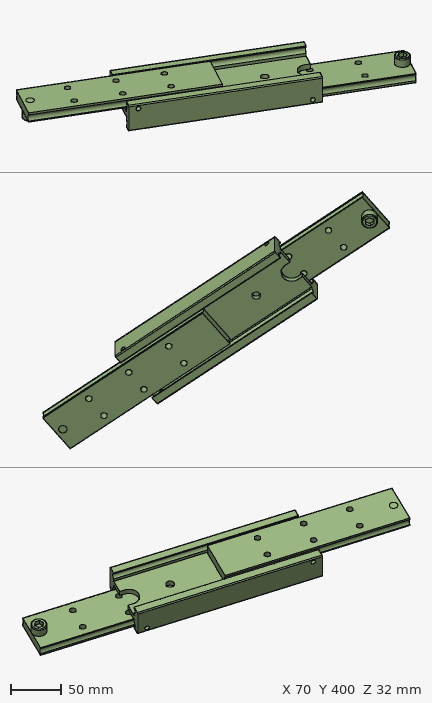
import cadquery as cq

rail_length = 200.0
housing_length = 200.0
housing_width = 70.0
housing_height = 30.0
total_height = 32.0

web_thickness = 6.0
flange_inner_x = 25.5
flange_edge_chamfer = 1.0
track_z = 10.0
housing_track_radius = 4.0
housing_track_depth = 2.5

rail_width = 45.0
rail_thickness = 11.0
rail_track_height = 7.0
rail_track_depth = 1.5
rail_track_bulge = 0.5
rail_hole_diameter = 6.5
rail_hole_spacing = 25.0
rail_hole_pitch = 50.0
rail_hole_rows = 3

head_diameter = 16.0
head_height = 9.5
head_chamfer = 1.0
shank_diameter = 8.5
socket_corner_diameter = 9.5
socket_depth = 5.0
screw_y = rail_length - head_diameter / 2

notch_diameter = 21.0
notch_depth = 16.0
notch_center_y = housing_length / 2 - notch_depth + notch_diameter / 2
notch_run = notch_depth
web_hole_diameter = 8.5
web_hole_y = 50.0
side_hole_diameter = 5.0
side_hole_y = 90.0

rail_inner_z = total_height / 2 - rail_thickness
cut_length = 2 * housing_length


def turned_about_x(body, angle):
    """A half turn about X carries the upper rail and screw to their lower places."""
    return body.rotate((0, 0, 0), (1, 0, 0), angle)


def make_housing():
    """H-shaped middle member that guides one rail on each face."""
    body = cq.Workplane("XY").box(housing_width, housing_length, housing_height)
    body = body.edges("|Y").chamfer(flange_edge_chamfer)

    channel_height = (housing_height - web_thickness) / 2
    channel_z = (housing_height + web_thickness) / 4
    track_center_x = flange_inner_x + housing_track_depth - housing_track_radius
    for side in (-1, 1):
        channel = cq.Workplane("XY").box(2 * flange_inner_x, cut_length, channel_height)
        body = body.cut(channel.translate((0, 0, side * channel_z)))
    tracks = (
        cq.Workplane("XZ")
        .rect(2 * track_center_x, 2 * track_z, forConstruction=True)
        .vertices()
        .circle(housing_track_radius)
        .extrude(cut_length / 2, both=True)
    )
    body = body.cut(tracks)

    for end in (-1, 1):
        notch = (
            cq.Workplane("XY")
            .center(0, end * (notch_center_y + notch_run / 2))
            .slot2D(notch_run + notch_diameter, notch_diameter, 90)
            .extrude(web_thickness, both=True)
        )
        body = body.cut(notch)
        hole = cq.Workplane("XY").center(0, end * web_hole_y).circle(web_hole_diameter / 2)
        body = body.cut(hole.extrude(web_thickness, both=True))

    cross_holes = (
        cq.Workplane("YZ")
        .pushPoints([(side_hole_y, -track_z), (-side_hole_y, track_z)])
        .circle(side_hole_diameter / 2)
        .extrude(housing_width, both=True)
    )
    return body.cut(cross_holes)


def make_upper_rail():
    """Flat rail with ball tracks in both sides, reaching out toward -Y."""
    half_width = rail_width / 2

    track_top = track_z + rail_track_height / 2
    track_bottom = track_z - rail_track_height / 2
    track_x = half_width - rail_track_depth
    mid_x = half_width - rail_track_depth / 2 - rail_track_bulge
    mid_offset = rail_track_height / 4
    half_outline = (
        cq.Workplane("XZ")
        .moveTo(0, rail_inner_z)
        .lineTo(half_width, rail_inner_z)
        .lineTo(half_width, track_bottom)
        .threePointArc((mid_x, track_z - mid_offset), (track_x, track_z))
        .threePointArc((mid_x, track_z + mid_offset), (half_width, track_top))
        .lineTo(half_width, total_height / 2)
        .lineTo(0, total_height / 2)
        .close()
    )
    half_rail = half_outline.extrude(rail_length)
    body = half_rail.union(half_rail.mirror("YZ"))

    rows = [-rail_hole_pitch * (row + 1) for row in range(rail_hole_rows)]
    holes = (
        cq.Workplane("XY")
        .pushPoints([(side * rail_hole_spacing / 2, y) for y in rows for side in (-1, 1)])
        .circle(rail_hole_diameter / 2)
        .extrude(total_height)
    )
    screw_hole = cq.Workplane("XY").center(0, -screw_y).circle(shank_diameter / 2).extrude(total_height)
    return body.cut(holes).cut(screw_hole)


def make_upper_screw():
    """Socket head screw hanging below the upper rail, shank end flush with the rail face."""
    head_bottom = rail_inner_z - head_height
    head = cq.Workplane("XY").workplane(offset=head_bottom).circle(head_diameter / 2).extrude(head_height)
    head = head.faces("<Z").chamfer(head_chamfer)
    shank = cq.Workplane("XY").workplane(offset=rail_inner_z).circle(shank_diameter / 2).extrude(rail_thickness)
    socket = (
        cq.Workplane("XY")
        .workplane(offset=head_bottom)
        .polygon(6, socket_corner_diameter)
        .extrude(socket_depth)
        .rotate((0, 0, 0), (0, 0, 1), 90)
    )
    return head.union(shank).cut(socket).translate((0, -screw_y, 0))


housing = make_housing()
upper_rail = make_upper_rail()
upper_screw = make_upper_screw()
rails = []
screws = []
for angle in (0, 180):
    rails.append(turned_about_x(upper_rail, angle).val())
    screws.append(turned_about_x(upper_screw, angle).val())

result = cq.Compound.makeCompound([housing.val(), *rails, *screws])